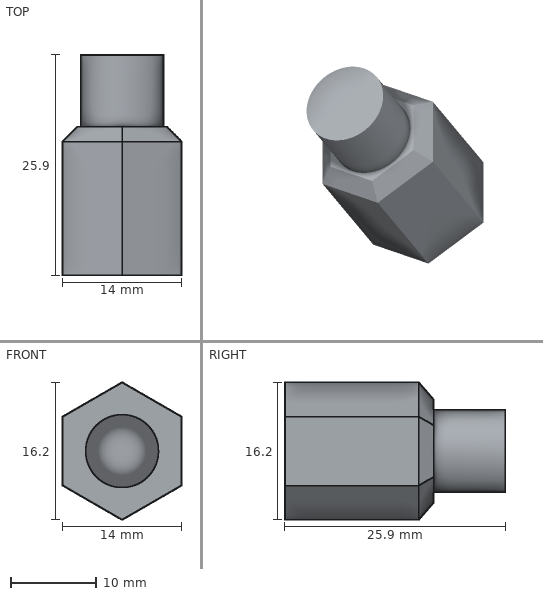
import cadquery as cq
import math

total_length = 25.9
across_flats = 14.0
across_corners = across_flats / math.cos(math.radians(30))

stud_length = 8.42
chamfer_length = 1.75
hex_length = total_length - stud_length

stud_diameter = 9.75
bore_diameter = 8.57
bore_depth = 11.91

front_y = -total_length / 2


def section_plane(distance_from_front):
    """Plane across the axis, facing +Y, with its local X pointing up along Z."""
    origin = (0, front_y + distance_from_front, 0)
    return cq.Workplane(cq.Plane(origin=origin, xDir=(0, 0, 1), normal=(0, 1, 0)))


def hex_body():
    """Hexagonal body with corners at top and bottom and its rear edges bevelled."""
    body = section_plane(0).polygon(6, across_corners).extrude(hex_length)
    return body.faces(">Y").chamfer(chamfer_length)


def stud():
    """Plain round stud on the rear face."""
    return section_plane(hex_length).circle(stud_diameter / 2).extrude(stud_length)


def bore():
    """Flat-bottomed blind bore in the front face."""
    return section_plane(0).circle(bore_diameter / 2).extrude(bore_depth)


result = hex_body().union(stud()).cut(bore())